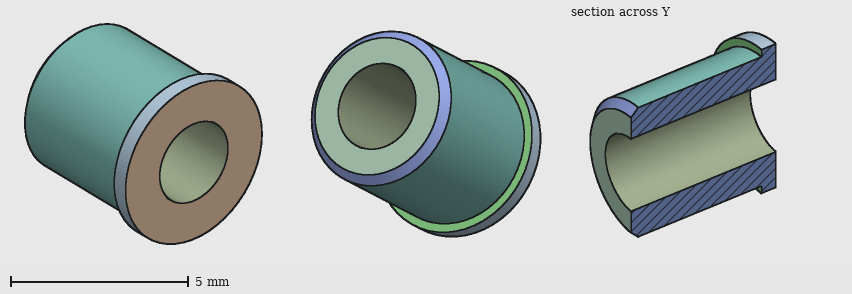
import cadquery as cq

total_length = 5.0
flange_diameter = 5.0
flange_thickness = 0.5
body_diameter = 4.5
bore_diameter = 2.5
lead_in_chamfer = 0.25

body_length = total_length - flange_thickness

body = (
    cq.Workplane("YZ")
    .circle(body_diameter / 2)
    .extrude(body_length)
    .faces("<X")
    .chamfer(lead_in_chamfer)
)

flange = (
    cq.Workplane("YZ", origin=(body_length, 0, 0))
    .circle(flange_diameter / 2)
    .extrude(flange_thickness)
)

bore = cq.Workplane("YZ").circle(bore_diameter / 2).extrude(total_length)

result = body.union(flange).cut(bore)